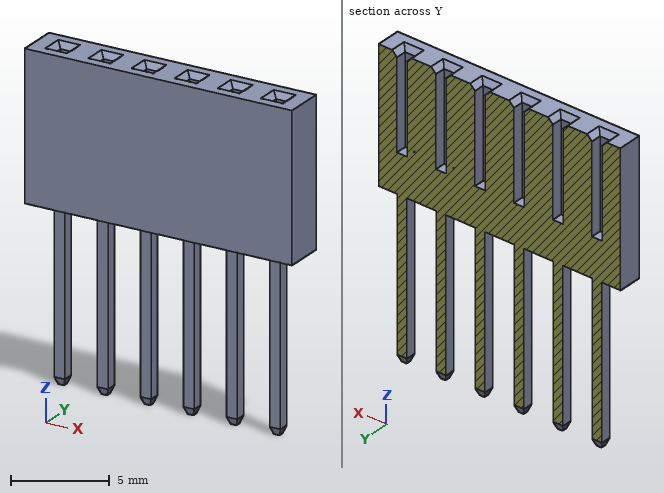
import cadquery as cq

pin_count = 6
pitch = 2.54
body_length = 15.75
body_width = 2.41
body_height = 8.51
pin_length = 10.0

pin_size = 0.64
tip_length = 0.427
tip_size = pin_size / 2

socket_size = pin_size
lead_in_size = 2 * socket_size
lead_in_depth = (lead_in_size - socket_size) / 2
socket_depth = 6.0

pin_overlap = 0.5


def make_body():
    """Plain housing with its underside at Z = 0."""
    return cq.Workplane("XY").box(body_length, body_width, body_height, centered=(True, True, False))


def square_taper(start_z, start_size, end_z, end_size):
    """Square frustum along Z between two heights."""
    return (
        cq.Workplane("XY")
        .workplane(offset=start_z)
        .rect(start_size, start_size)
        .workplane(offset=end_z - start_z)
        .rect(end_size, end_size)
        .loft(ruled=True)
    )


def square_bar(bottom_z, top_z, size):
    """Square bar along Z between two heights."""
    return cq.Workplane("XY").workplane(offset=bottom_z).rect(size, size).extrude(top_z - bottom_z)


def make_pin():
    """Square pin below the body, ending in a tapered tip."""
    shoulder_z = tip_length - pin_length
    shank = square_bar(shoulder_z, pin_overlap, pin_size)
    tip = square_taper(shoulder_z, pin_size, -pin_length, tip_size)
    return shank.union(tip)


def make_opening():
    """Cutting shape of one contact opening in the top face."""
    lead_in_bottom_z = body_height - lead_in_depth
    socket = square_bar(body_height - socket_depth, lead_in_bottom_z, socket_size)
    lead_in = square_taper(body_height, lead_in_size, lead_in_bottom_z, socket_size)
    return socket.union(lead_in)


pin = make_pin()
opening = make_opening()
result = make_body()
for index in range(pin_count):
    position = ((index - (pin_count - 1) / 2) * pitch, 0, 0)
    result = result.union(pin.translate(position))
    result = result.cut(opening.translate(position))